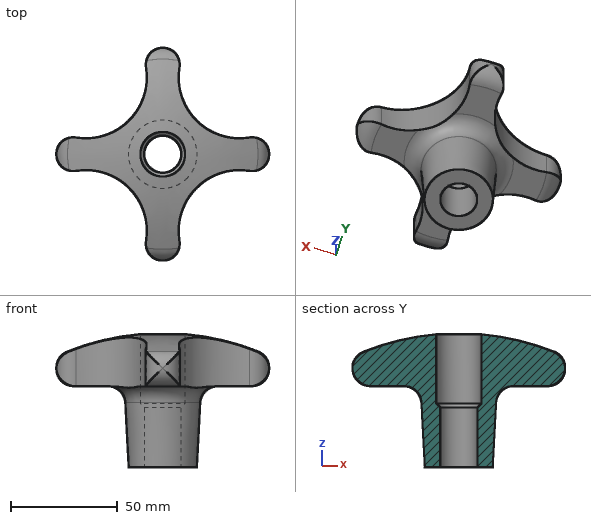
import cadquery as cq
import math

arm_count = 4
tip_reach = 50.0
tip_plan_radius = 8.0
rim_radius = 8.5
scallop_offset = 36.0

underside_z = 38.0
dome_apex_z = 63.0

stem_base_radius = 16.05
stem_draft = math.radians(3.0)
stem_fillet_radius = 8.0

core_radius = 8.65
bore_radius = 10.5
seat_top_z = underside_z - stem_fillet_radius
seat_slope = math.radians(45.0)

rim_center_r = tip_reach - rim_radius
rim_center_z = underside_z + rim_radius

apex_above_rim = dome_apex_z - rim_center_z
dome_radius = (rim_center_r**2 + apex_above_rim**2 - rim_radius**2) / (2 * (apex_above_rim - rim_radius))
dome_center_z = dome_apex_z - dome_radius
dome_edge_angle = math.asin(rim_center_r / (dome_radius - rim_radius))

tip_center = tip_reach - tip_plan_radius
scallop_radius = math.hypot(scallop_offset - tip_center, scallop_offset) - tip_plan_radius


def polar_point(center_r, center_z, radius, angle):
    """Point on a circle in the radial plane, with the angle measured from +Z outward."""
    return (center_r + radius * math.sin(angle), center_z + radius * math.cos(angle))


def make_revolved_body():
    """Stem, fillet, rounded rim, dome and stepped bore turned about the Z axis."""
    fillet_center_z = underside_z - stem_fillet_radius
    fillet_center_r = (
        stem_base_radius
        + fillet_center_z * math.tan(stem_draft)
        + stem_fillet_radius / math.cos(stem_draft)
    )
    fillet_start_angle = stem_draft - math.pi / 2
    fillet_start = polar_point(fillet_center_r, fillet_center_z, stem_fillet_radius, fillet_start_angle)
    fillet_middle = polar_point(fillet_center_r, fillet_center_z, stem_fillet_radius, fillet_start_angle / 2)
    dome_edge = polar_point(0, dome_center_z, dome_radius, dome_edge_angle)
    bore_mouth_angle = math.asin(bore_radius / dome_radius)
    dome_middle = polar_point(0, dome_center_z, dome_radius, (dome_edge_angle + bore_mouth_angle) / 2)
    bore_mouth = polar_point(0, dome_center_z, dome_radius, bore_mouth_angle)

    seat_bottom_z = seat_top_z - (bore_radius - core_radius) * math.tan(seat_slope)

    profile = (
        cq.Workplane("XZ")
        .moveTo(core_radius, 0)
        .lineTo(stem_base_radius, 0)
        .lineTo(*fillet_start)
        .threePointArc(fillet_middle, (fillet_center_r, underside_z))
        .lineTo(rim_center_r, underside_z)
        .threePointArc((tip_reach, rim_center_z), dome_edge)
        .threePointArc(dome_middle, bore_mouth)
        .lineTo(bore_radius, seat_top_z)
        .lineTo(core_radius, seat_bottom_z)
        .close()
    )
    return profile.revolve(360, (0, 0, 0), (0, 1, 0))


def plan_point(along, across, arm_angle):
    """Plan position given along and across an arm that points at arm_angle."""
    return (
        along * math.cos(arm_angle) - across * math.sin(arm_angle),
        along * math.sin(arm_angle) + across * math.cos(arm_angle),
    )


def make_star_prism():
    """Vertical prism with the plan outline of the arms, taller than the body."""
    toward_scallop = math.atan2(scallop_offset, scallop_offset - tip_center)
    tangent_along = tip_center + tip_plan_radius * math.cos(toward_scallop)
    tangent_across = tip_plan_radius * math.sin(toward_scallop)
    scallop_middle = scallop_offset - scallop_radius / math.sqrt(2)

    outline = cq.Workplane("XY").moveTo(tangent_along, -tangent_across)
    for arm in range(arm_count):
        angle = math.radians(arm * 360 / arm_count)
        next_angle = angle + math.radians(360 / arm_count)
        outline = outline.threePointArc(
            plan_point(tip_reach, 0, angle),
            plan_point(tangent_along, tangent_across, angle),
        ).threePointArc(
            plan_point(scallop_middle, scallop_middle, angle),
            plan_point(tangent_along, -tangent_across, next_angle),
        )
    return outline.close().extrude(dome_apex_z)


result = make_revolved_body().intersect(make_star_prism())